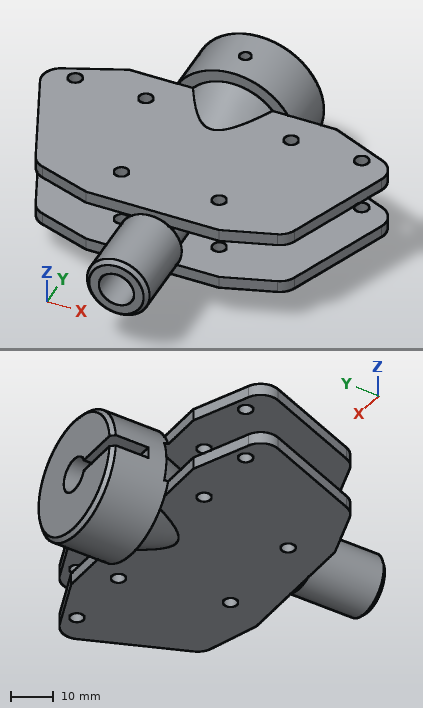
import cadquery as cq


cup_diameter = 33.0
cup_radius = cup_diameter / 2
cup_length = 16.0
edge_chamfer = 1.05
pin_hole_diameter = 2.9
pin_hole_y = 7.0
slot_width = 3.0
slot_length = 10.0
seat_recess = 1.05

bore_radius = 4.5
cone_base_radius = 13.4
cone_slope = 0.39
neck_radius = 5.9
stem_radius = 8.0
stem_start = 46.1
stem_end = 65.2

gap = 10.8
plate_thickness = 3.25
plate_depth = 45.0
back_half_width = 26.5
front_half_width = 17.0
wide_corner = (45.5, -7.9)
narrow_corner = (32.2, -40.1)
corner_radius = 4.9
plate_hole_diameter = 3.5
outer_hole = (36.6, -8.0)
inner_hole = (18.6, -8.0)
front_hole = (12.5, -35.0)


def mirrored_pair(point):
    x, y = point
    return [(x, y), (-x, y)]


def rod(radius, y_start, y_end):
    """Cylinder on the Y axis running from y_start down to y_end."""
    return cq.Workplane("XZ", origin=(0, y_start, 0)).circle(radius).extrude(y_start - y_end)


def make_plate(bottom_z):
    right_side = [
        (back_half_width, 0),
        wide_corner,
        narrow_corner,
        (front_half_width, -plate_depth),
    ]
    left_side = [(-x, y) for x, y in reversed(right_side)]
    plate = (
        cq.Workplane("XY", origin=(0, 0, bottom_z))
        .polyline(right_side + left_side)
        .close()
        .extrude(plate_thickness)
    )
    for corner in mirrored_pair(wide_corner) + mirrored_pair(narrow_corner):
        edge_finder = cq.selectors.NearestToPointSelector((*corner, bottom_z + plate_thickness / 2))
        plate = plate.edges("|Z").edges(edge_finder).fillet(corner_radius)
    holes = mirrored_pair(outer_hole) + mirrored_pair(inner_hole) + mirrored_pair(front_hole)
    drills = (
        cq.Workplane("XY", origin=(0, 0, bottom_z))
        .pushPoints(holes)
        .circle(plate_hole_diameter / 2)
        .extrude(plate_thickness)
    )
    return plate.cut(drills)


def make_cup():
    cup = rod(cup_radius, cup_length, 0).faces(">Y").chamfer(edge_chamfer)
    recess = cq.Workplane("XY").box(2 * cup_radius, 2 * seat_recess, gap)
    slot = cq.Workplane("XY").box(cup_radius, slot_length, slot_width)
    slot = slot.translate((-cup_radius / 2, cup_length - slot_length / 2, 0))
    pin_hole = cq.Workplane("XY").center(0, pin_hole_y).circle(pin_hole_diameter / 2).extrude(cup_radius)
    return cup.cut(recess).cut(slot).cut(pin_hole)


def make_cone():
    """Cone from the floor of the seat recess down to the neck."""
    base_radius = cone_base_radius + cone_slope * seat_recess
    tip_y = -(cone_base_radius - neck_radius) / cone_slope
    profile = [(0, seat_recess), (base_radius, seat_recess), (neck_radius, tip_y), (0, tip_y)]
    return cq.Workplane("XY").polyline(profile).close().revolve(360, (0, 0), (0, 1))


neck = rod(neck_radius, seat_recess, -stem_start)
stem = rod(stem_radius, -stem_start, -stem_end).faces("<Y").chamfer(edge_chamfer)
bore = rod(bore_radius, cup_length, -stem_end)

result = make_cup().union(make_cone()).union(neck).union(stem)
for plate_bottom in (gap / 2, -gap / 2 - plate_thickness):
    result = result.union(make_plate(plate_bottom))
result = result.cut(bore)